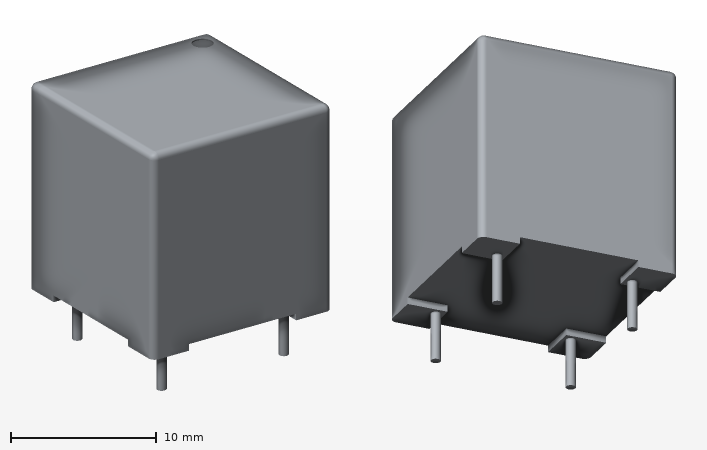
import cadquery as cq

total_height = 19.1
housing_width = 15.0
pin_length = 3.6
housing_height = total_height - pin_length
edge_radius = 0.5

channel_width = 8.95
channel_depth = 0.5

mark_diameter = 1.5
mark_inset = 1.5
mark_depth = 0.1

pin_diameter = 0.7
pin_spacing = 10.2


def make_housing():
    """Rounded block with channels across its underside and a mark on top."""
    block = (
        cq.Workplane("XY")
        .box(housing_width, housing_width, housing_height, centered=(True, True, False))
        .edges("|Z or >Z")
        .fillet(edge_radius)
    )
    for length_x, length_y in ((housing_width, channel_width), (channel_width, housing_width)):
        channel = cq.Workplane("XY").box(
            length_x, length_y, channel_depth, centered=(True, True, False)
        )
        block = block.cut(channel)

    mark_offset = housing_width / 2 - mark_inset
    mark = (
        cq.Workplane("XY", origin=(-mark_offset, mark_offset, housing_height - mark_depth))
        .circle(mark_diameter / 2)
        .extrude(mark_depth)
    )
    return block.cut(mark)


def make_pin(x, y):
    """Plain round pin hanging from the underside of a foot."""
    return cq.Workplane("XY", origin=(x, y, 0)).circle(pin_diameter / 2).extrude(-pin_length)


housing = make_housing()

half_spacing = pin_spacing / 2
pins = []
for pin_x in (-half_spacing, half_spacing):
    for pin_y in (-half_spacing, half_spacing):
        pins.append(make_pin(pin_x, pin_y).val())

result = cq.Compound.makeCompound([housing.val(), *pins])